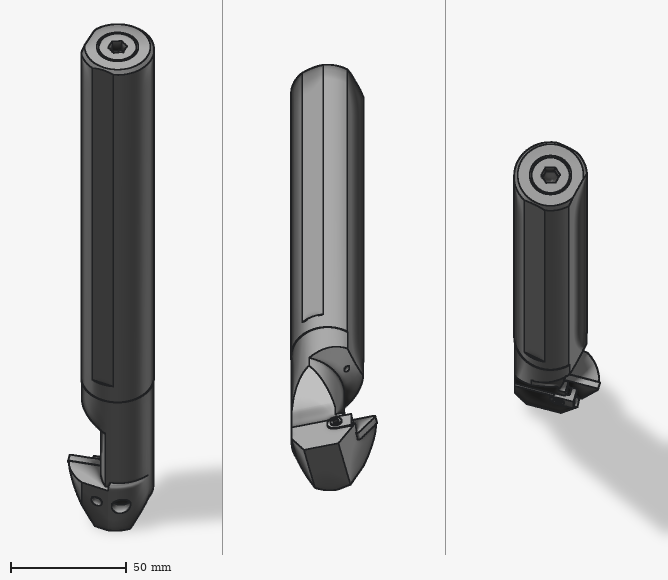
import cadquery as cq
import math

TOTAL_LENGTH = 275.0

SHANK_RADIUS = 16.0
SHANK_BOTTOM = 75.5
TOP_CHAMFER = 1.6
SIDE_FLAT_X = -13.5
CROSS_FLAT_Y = 15.0
CROSS_FLAT_BOTTOM = 85.2

NECK_RADIUS = 15.7
RELIEF_AXIS_X = 14.0
RELIEF_RADIUS = 20.0
RELIEF_TOP = 55.5
RELIEF_RISE = 0.9
COOLANT_RADIUS = 1.0
COOLANT_X = -10.0
COOLANT_Y = 1.0
COOLANT_DEPTH = 16.5

HEAD_TURN = 12.0
HEAD_TOP = 24.0
HEAD_AXIS_Y = -2.35
HEAD_RADIUS = NECK_RADIUS
BACK_FLAT_Y = -17.5
BACK_FLAT_LEFT = -9.0
BACK_CORNER = (-20.0, -7.5)
BACK_BULGE = (-15.5, -13.8)
BACK_FLAT_RIGHT = math.sqrt(HEAD_RADIUS**2 - (BACK_FLAT_Y - HEAD_AXIS_Y) ** 2)
SHOULDER_HEIGHT = 3.0
SHOULDER_FILLET = 3.3
FLANK_BOTTOM_U = -6.3
FLANK_TOP_U = -20.5
TOE_BOTTOM_U = 9.0
TOE_TOP_U = 14.8
TOE_HEIGHT = 10.7

CHIP_FACE_N = 5.0
CHIP_STEP_Z = 18.7
LOWER_FACE_N = 6.0
SLOPE_BOTTOM_Z = 29.2
SLOPE_TOP_N = 15.0
SLOPE_TOP_Z = 50.0
SLOPE_BLEND = 11.0

INSERT_SIDE = 16.5
INSERT_THICKNESS = 3.3
INSERT_NOSE_RADIUS = 0.8
INSERT_TILT = 8.0
INSERT_TIP_U = -22.0
INSERT_TIP_N = -0.3
INSERT_TOP = 24.8
POCKET_RIGHT_U = -8.0
POCKET_BOTTOM = 11.8

CLAMP_U = -5.5
CLAMP_Z = 15.5
CLAMP_RADIUS = 4.0
CLAMP_REACH = 6.5
CLAMP_BASE_N = 4.0
CLAMP_TOP_N = 6.5
CLAMP_NOSE_WIDTH = 2.5
CLAMP_NOSE_HEIGHT = 3.3
CLAMP_SCREW_RADIUS = 2.5
CLAMP_SCREW_END_N = -12.5
CLAMP_SCREW_TOP_N = 7.2
CLAMP_SOCKET_RADIUS = 1.25
CLAMP_SOCKET_DEPTH = 1.6

SIDE_SCREW_X = 8.8
SIDE_SCREW_Z = 14.5
SIDE_SCREW_TURN = 25.0
SIDE_SCREW_RADIUS = 4.0
SIDE_HOLE_END = 5.5
SIDE_SCREW_FACE = 10.5

PLUG_RADIUS = 8.2
PLUG_LENGTH = 13.8
PLUG_SEAT_CHAMFER = 0.8
PLUG_HEX_FLATS = 7.2
PLUG_HEX_DEPTH = 5.5
PLUG_CONE_DEPTH = 2.0

FAR = 55.0


def turned(shape):
    """Turn a shape built on the U, N, Z directions of the head to its place."""
    return shape.rotate((0, 0, 0), (0, 0, 1), HEAD_TURN)


def block(x_range, y_range, z_range):
    size = [high - low for low, high in (x_range, y_range, z_range)]
    corner = (x_range[0], y_range[0], z_range[0])
    return cq.Workplane("XY").box(*size, centered=False).translate(corner)


def rod(radius, u, z, n_start, n_end):
    """Cylinder along the N direction."""
    plane = cq.Plane(origin=(u, n_start, z), xDir=(1, 0, 0), normal=(0, 1, 0))
    return cq.Workplane(plane).circle(radius).extrude(n_end - n_start)


def u_z_prism(points):
    """Prism along the N direction, running past the part on both sides."""
    return cq.Workplane("XZ").polyline(points).close().extrude(FAR, both=True)


def shank():
    body = cq.Workplane("XY").workplane(offset=SHANK_BOTTOM).circle(SHANK_RADIUS)
    body = body.extrude(TOTAL_LENGTH - SHANK_BOTTOM).faces(">Z").chamfer(TOP_CHAMFER)
    for low, high in ((CROSS_FLAT_Y, FAR), (-FAR, -CROSS_FLAT_Y)):
        body = body.cut(block((-FAR, FAR), (low, high), (CROSS_FLAT_BOTTOM, TOTAL_LENGTH)))
    return body


def neck_relief():
    """Room left of the neck: a large cylinder stays, under a conical shoulder."""
    rim = RELIEF_TOP + RELIEF_RISE * (FAR - RELIEF_RADIUS)
    profile = [(RELIEF_RADIUS, HEAD_TOP), (FAR, HEAD_TOP), (FAR, rim), (RELIEF_RADIUS, RELIEF_TOP)]
    ring = cq.Workplane("XZ").polyline(profile).close().revolve(360, (0, 0, 0), (0, 1, 0))
    ring = ring.translate((RELIEF_AXIS_X, 0, 0))
    return ring.intersect(block((-FAR, RELIEF_AXIS_X), (-FAR, FAR), (HEAD_TOP, SHANK_BOTTOM)))


def neck():
    body = cq.Workplane("XY").circle(NECK_RADIUS).extrude(SHANK_BOTTOM)
    body = body.cut(neck_relief())
    coolant = cq.Workplane("XY").workplane(offset=RELIEF_TOP).center(COOLANT_X, COOLANT_Y)
    return body.cut(coolant.circle(COOLANT_RADIUS).extrude(COOLANT_DEPTH))


def round_back():
    """Round back of the head, rising right of the back flat to a rounded shoulder."""
    top = HEAD_TOP + SHOULDER_HEIGHT
    disc = cq.Workplane("XY").center(0, HEAD_AXIS_Y).circle(HEAD_RADIUS).extrude(top)
    disc = disc.faces(">Z").edges().fillet(SHOULDER_FILLET)
    disc = disc.cut(block((-FAR, BACK_FLAT_RIGHT), (-FAR, FAR), (HEAD_TOP, top)))
    return disc.cut(block((-FAR, BACK_FLAT_RIGHT), (-FAR, BACK_FLAT_Y), (0, top)))


def insert_side():
    """Left part of the head, which reaches out to the insert."""
    outline = (
        cq.Workplane("XY")
        .moveTo(*BACK_CORNER)
        .threePointArc(BACK_BULGE, (BACK_FLAT_LEFT, BACK_FLAT_Y))
        .lineTo(0, BACK_FLAT_Y)
        .lineTo(0, HEAD_AXIS_Y + HEAD_RADIUS)
        .lineTo(BACK_CORNER[0], 0)
        .close()
    )
    return outline.extrude(HEAD_TOP)


def head_flank():
    points = [(FLANK_BOTTOM_U, 0), (FLANK_TOP_U, HEAD_TOP), (-FAR, HEAD_TOP), (-FAR, 0)]
    return turned(u_z_prism(points))


def head_toe():
    return turned(u_z_prism([(TOE_BOTTOM_U, 0), (TOE_TOP_U, TOE_HEIGHT), (FAR, TOE_HEIGHT), (FAR, 0)]))


def chip_face():
    """Room in front of the chip face, from the neck slope down to the lower face."""
    slope = (SLOPE_TOP_N - CHIP_FACE_N) / (SLOPE_TOP_Z - SLOPE_BOTTOM_Z)
    far_z = SLOPE_BOTTOM_Z + (FAR - CHIP_FACE_N) / slope
    profile = [
        (LOWER_FACE_N, 0),
        (LOWER_FACE_N, CHIP_STEP_Z),
        (CHIP_FACE_N, CHIP_STEP_Z),
        (CHIP_FACE_N, SLOPE_BOTTOM_Z),
        (FAR, far_z),
        (FAR, 0),
    ]
    cutter = cq.Workplane("YZ").polyline(profile).close().extrude(FAR, both=True)
    bend = cq.selectors.NearestToPointSelector((0, CHIP_FACE_N, SLOPE_BOTTOM_Z))
    cutter = cutter.edges("|X").edges(bend).fillet(SLOPE_BLEND)
    return turned(cutter)


def insert_plane():
    """Plane on the cutting face of the insert, at its tip."""
    tilt = math.radians(INSERT_TILT)
    normal = cq.Vector(0, math.cos(tilt), math.sin(tilt))
    return cq.Plane(origin=(INSERT_TIP_U, INSERT_TIP_N, INSERT_TOP), xDir=(-1, 0, 0), normal=normal)


def insert_blank():
    """Sharp-cornered equilateral triangle with a level top edge, behind the cutting face."""
    drop = INSERT_SIDE * math.sin(math.radians(60))
    points = [(0, 0), (-INSERT_SIDE, 0), (-INSERT_SIDE / 2, -drop)]
    return cq.Workplane(insert_plane()).polyline(points).close().extrude(-INSERT_THICKNESS)


def chip_pocket():
    """Open space in front of the insert, with its floor level with the cutting face."""
    height = INSERT_TOP - POCKET_BOTTOM
    space = cq.Workplane(insert_plane()).center(INSERT_TIP_U - POCKET_RIGHT_U, -height)
    space = space.rect(FAR, height, centered=False).extrude(FAR)
    return turned(space)


def bar():
    body = neck().union(round_back()).union(insert_side()).union(shank())
    body = body.cut(head_flank()).cut(head_toe())
    body = body.cut(block((-FAR, SIDE_FLAT_X), (-FAR, FAR), (HEAD_TOP, TOTAL_LENGTH)))
    body = body.cut(chip_face()).cut(chip_pocket()).cut(turned(insert_blank()))
    body = body.cut(clamp_recess()).cut(clamp_screw_hole()).cut(side_hole())
    return body.cut(plug_seat())


def insert():
    corners = cq.selectors.ParallelDirSelector(insert_plane().zDir)
    return turned(insert_blank().edges(corners).fillet(INSERT_NOSE_RADIUS))


def clamp_plate(n_start, n_end):
    """Round-ended plate from the clamp screw towards the insert."""
    plate = rod(CLAMP_RADIUS, CLAMP_U, CLAMP_Z, n_start, n_end)
    z_range = (CLAMP_Z - CLAMP_RADIUS, CLAMP_Z + CLAMP_RADIUS)
    return plate.union(block((CLAMP_U - CLAMP_REACH, CLAMP_U), (n_start, n_end), z_range))


def clamp_recess():
    return turned(clamp_plate(CLAMP_BASE_N, FAR))


def clamp():
    plate = clamp_plate(CLAMP_BASE_N, CLAMP_TOP_N)
    nose_left = CLAMP_U - CLAMP_REACH
    nose_z = (CLAMP_Z + CLAMP_RADIUS - CLAMP_NOSE_HEIGHT, CLAMP_Z + CLAMP_RADIUS)
    nose = block((nose_left, nose_left + CLAMP_NOSE_WIDTH), (-INSERT_THICKNESS, CLAMP_BASE_N), nose_z)
    below_face = cq.Workplane(insert_plane()).rect(2 * FAR, 2 * FAR).extrude(-FAR)
    hole = rod(CLAMP_SCREW_RADIUS, CLAMP_U, CLAMP_Z, CLAMP_BASE_N, CLAMP_TOP_N)
    return turned(plate.union(nose.cut(below_face)).cut(hole))


def clamp_screw_hole():
    """Hole right through the head, open at the back flat."""
    return turned(rod(CLAMP_SCREW_RADIUS, CLAMP_U, CLAMP_Z, -FAR, CLAMP_TOP_N))


def clamp_screw():
    screw = rod(CLAMP_SCREW_RADIUS, CLAMP_U, CLAMP_Z, CLAMP_SCREW_END_N, CLAMP_SCREW_TOP_N)
    socket_floor = CLAMP_SCREW_TOP_N - CLAMP_SOCKET_DEPTH
    return turned(screw.cut(rod(CLAMP_SOCKET_RADIUS, CLAMP_U, CLAMP_Z, socket_floor, CLAMP_SCREW_TOP_N)))


def side_rod(start, end):
    """Cylinder along the side hole, between two distances from the head axis."""
    turn = math.radians(SIDE_SCREW_TURN)
    outward = cq.Vector(math.sin(turn), -math.cos(turn), 0)
    mouth_y = HEAD_AXIS_Y - math.sqrt(HEAD_RADIUS**2 - SIDE_SCREW_X**2)
    mouth = cq.Vector(SIDE_SCREW_X, mouth_y, SIDE_SCREW_Z)
    base = mouth + outward * (start - HEAD_RADIUS)
    return cq.Workplane(cq.Solid.makeCylinder(SIDE_SCREW_RADIUS, end - start, base, outward))


def side_hole():
    return side_rod(SIDE_HOLE_END, FAR)


def side_screw():
    return side_rod(SIDE_HOLE_END, SIDE_SCREW_FACE)


def plug_blank():
    return cq.Workplane("XY").workplane(offset=TOTAL_LENGTH).circle(PLUG_RADIUS).extrude(-PLUG_LENGTH)


def plug_seat():
    rim = cq.Solid.makeCone(
        PLUG_RADIUS, PLUG_RADIUS + PLUG_SEAT_CHAMFER, PLUG_SEAT_CHAMFER,
        cq.Vector(0, 0, TOTAL_LENGTH - PLUG_SEAT_CHAMFER),
    )
    return plug_blank().union(cq.Workplane(rim))


def plug():
    """Plug with a hexagon socket that ends in a shallow cone."""
    corner_radius = PLUG_HEX_FLATS / 2 / math.cos(math.radians(30))
    floor = TOTAL_LENGTH - PLUG_HEX_DEPTH
    hexagon = cq.Workplane("XY").workplane(offset=TOTAL_LENGTH).polygon(6, 2 * corner_radius)
    hexagon = hexagon.extrude(-PLUG_LENGTH).rotate((0, 0, 0), (0, 0, 1), 30)
    bore = cq.Workplane("XY").workplane(offset=floor).circle(PLUG_RADIUS).extrude(PLUG_HEX_DEPTH)
    tip = cq.Solid.makeCone(
        corner_radius, 0, PLUG_CONE_DEPTH, cq.Vector(0, 0, floor), cq.Vector(0, 0, -1)
    )
    return plug_blank().cut(hexagon.intersect(bore.union(cq.Workplane(tip))))


bodies = [bar(), plug(), insert(), clamp(), clamp_screw(), side_screw()]
result = cq.Compound.makeCompound([body.solids().val() for body in bodies])